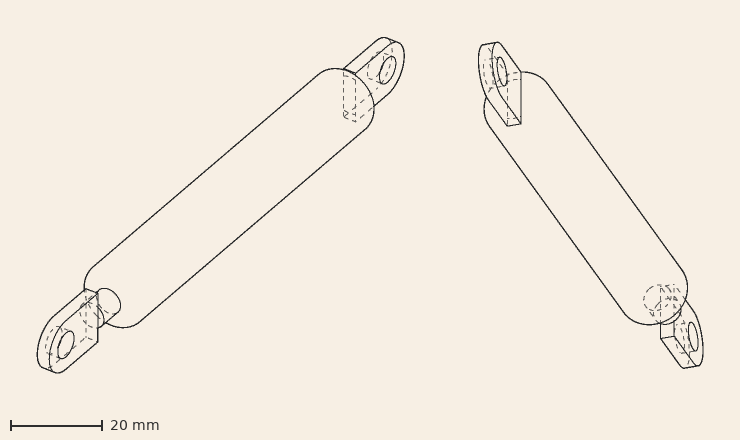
import cadquery as cq

total_length = 138.5
eye_length = 19.0
rod_length = 6.5

body_diameter = 15.8
body_edge_radius = 3.0
rod_diameter = 6.4

eye_height = 13.0
eye_thickness = 3.2
pin_hole_diameter = 6.4

plug_diameter = 4.0
plug_offset = 13.8
plug_depth = 2.8

half_length = total_length / 2
rod_start = -half_length + eye_length
body_front = rod_start + rod_length
body_back = half_length - eye_length


def cylinder_along_y(diameter, start, end):
    """Round bar on the Y axis between two Y positions."""
    return (
        cq.Workplane("XZ", origin=(0, start, 0))
        .circle(diameter / 2)
        .extrude(start - end)
    )


def end_eye(base, direction):
    """Flat eye with a rounded tip, pointing along +Y or -Y from its base."""
    tip = base + direction * eye_length
    tip_center = tip - direction * eye_height / 2
    blank = (
        cq.Workplane("YZ", origin=(-eye_thickness / 2, 0, 0))
        .moveTo(base, -eye_height / 2)
        .lineTo(tip_center, -eye_height / 2)
        .threePointArc((tip, 0), (tip_center, eye_height / 2))
        .lineTo(base, eye_height / 2)
        .close()
        .extrude(eye_thickness)
    )
    pin_hole = (
        cq.Workplane("YZ", origin=(-eye_thickness / 2, 0, 0))
        .center(tip_center, 0)
        .circle(pin_hole_diameter / 2)
        .extrude(eye_thickness)
    )
    return blank.cut(pin_hole)


def plug_region(shape):
    """Part of the shape inside the plug outline, topped by the shape's own surface."""
    outline = (
        cq.Workplane("XY", origin=(0, body_front + plug_offset, body_diameter / 2))
        .circle(plug_diameter / 2)
        .extrude(-plug_depth)
    )
    return shape.intersect(outline)


body = cylinder_along_y(body_diameter, body_front, body_back)
body = body.edges("%CIRCLE").fillet(body_edge_radius)
plug = plug_region(body)
rod = cylinder_along_y(rod_diameter, rod_start, body_front)

result = (
    body.cut(plug)
    .union(plug, clean=False)
    .union(rod, clean=False)
    .union(end_eye(rod_start, -1), clean=False)
    .union(end_eye(body_back, 1), clean=False)
)